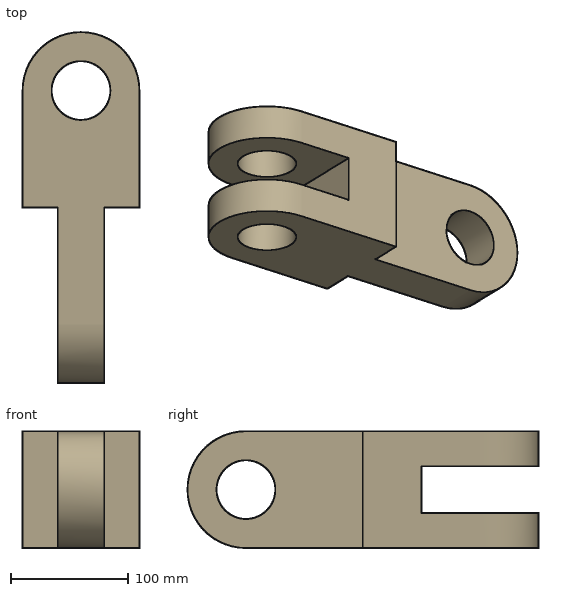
import cadquery as cq

length = 300.0
width = length / 3
tongue_thickness = 40.0
fork_gap = tongue_thickness

end_radius = width / 2
hole_diameter = width / 2
fork_depth = width
body_length = length / 2
fork_tip = length / 2
tongue_tip = -length / 2
shoulder = fork_tip - body_length
fork_pin = fork_tip - end_radius
tongue_pin = tongue_tip + end_radius


def rounded_bar(plane, start, pin, thickness):
    """Bar from start to a full round about pin, with a pin hole, centred on the plane."""
    base = cq.Workplane(plane).workplane(offset=-thickness / 2)
    straight = base.center(0, (start + pin) / 2).rect(width, abs(pin - start)).extrude(thickness)
    round_end = base.center(0, pin).circle(end_radius).extrude(thickness)
    pin_hole = base.center(0, pin).circle(hole_diameter / 2).extrude(thickness)
    return straight.union(round_end).cut(pin_hole)


fork_slot = cq.Workplane("XY").box(width, fork_depth, fork_gap).translate((0, fork_tip - fork_depth / 2, 0))
body = rounded_bar("XY", shoulder, fork_pin, width).cut(fork_slot)

tongue_plane = cq.Plane(origin=(0, 0, 0), xDir=(0, 0, 1), normal=(-1, 0, 0))
tongue = rounded_bar(tongue_plane, shoulder, tongue_pin, tongue_thickness)

result = body.union(tongue)